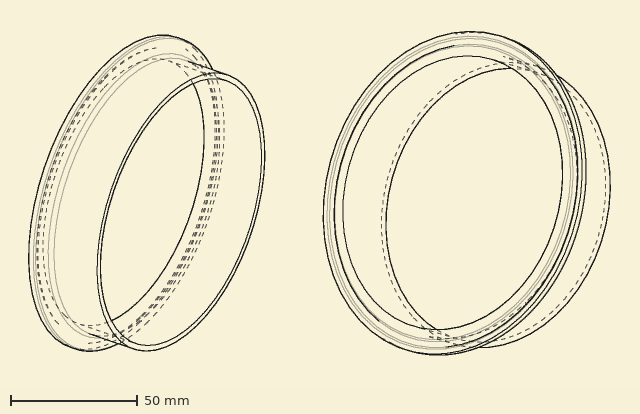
import cadquery as cq
import math

length = 28.0
flange_radius = 65.0
tube_radius = 57.5
bore_radius = 55.1

taper_angle = math.radians(20)
rim_width = 2.9
rim_fillet = 0.8
neck_fillet = 2.02
neck_x = rim_width + (flange_radius - tube_radius) * math.tan(taper_angle)

groove_radius = 61.1
groove_half_width = 2.0
floor_half_width = 1.2
groove_depth = 1.5

sweep = 2 * math.atan(groove_depth / groove_half_width)
lip_arc_radius = (groove_half_width - floor_half_width) / math.sin(sweep)


def lip_point(side, angle):
    """Point on a lip arc, turned by angle from the flange face; side is +1 outer, -1 inner."""
    radius = groove_radius + side * (groove_half_width - lip_arc_radius * math.sin(angle))
    return (lip_arc_radius * (1 - math.cos(angle)), radius)


def make_body():
    """Revolve the sharp-cornered section about the X axis."""
    profile = (
        cq.Workplane("XZ")
        .moveTo(0, bore_radius)
        .lineTo(length, bore_radius)
        .lineTo(length, tube_radius)
        .lineTo(neck_x, tube_radius)
        .lineTo(rim_width, flange_radius)
        .lineTo(0, flange_radius)
        .close()
    )
    return profile.revolve(360, (0, 0), (1, 0))


def make_groove():
    """Ring of material removed by the gasket groove."""
    profile = (
        cq.Workplane("XZ")
        .moveTo(*lip_point(1, 0))
        .threePointArc(lip_point(1, sweep / 2), lip_point(1, sweep))
        .threePointArc((groove_depth, groove_radius), lip_point(-1, sweep))
        .threePointArc(lip_point(-1, sweep / 2), lip_point(-1, 0))
        .close()
    )
    return profile.revolve(360, (0, 0), (1, 0))


def fillet_circle(body, x, edge_radius, fillet_radius):
    """Round the circular edge at the given X position and radius."""
    tolerance = 0.01

    def is_wanted(edge):
        return (
            abs(edge.Center().x - x) < tolerance
            and abs(edge.radius() - edge_radius) < tolerance
        )

    return body.edges("%CIRCLE").filter(is_wanted).fillet(fillet_radius)


result = make_body()
result = fillet_circle(result, rim_width, flange_radius, rim_fillet)
result = fillet_circle(result, neck_x, tube_radius, neck_fillet)
result = result.cut(make_groove())